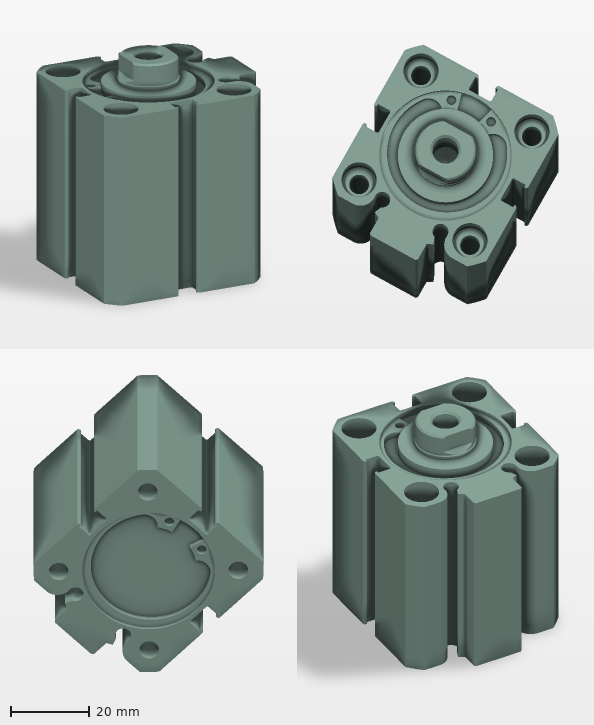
import cadquery as cq
import math


WIDTH = 45.0
HALF = WIDTH / 2
HEIGHT = 51.0
CORNER_RADIUS = 29.4
CORNER_EDGE = math.sqrt(CORNER_RADIUS**2 - HALF**2)
BORE_RADIUS = 16.95

RAIL_TOP = 27.5
RAIL_HALF = 7.0
RAIL_CHAMFER = 0.45
BARB_HALF = 8.6
BARB_DROP = 0.8
CHANNEL_RADIUS = 2.05
CHANNEL_X = 8.5
CHANNEL_Y = 17.9
BARB_ROOT_ANGLE = 70
SHOULDER_RADIUS = 4.0
SHOULDER_Y = HALF - SHOULDER_RADIUS
CENTER_GAP = CHANNEL_RADIUS + SHOULDER_RADIUS
SHOULDER_X = CHANNEL_X + math.sqrt(CENTER_GAP**2 - (SHOULDER_Y - CHANNEL_Y)**2)

SLOT_FLOOR = 17.85
SLOT_HALF = 3.3
SLOT_MOUTH_HALF = 2.6
SLOT_LIP = 0.85
SLOT_FLOOR_FILLET = 0.45
SLOT_MOUTH_FILLET = 0.65

HOLE_PITCH = 32.5
HOLE_DIAMETER = 5.05
COUNTERBORE_DIAMETER = 9.0
COUNTERBORE_DEPTH = 6.5

RING_DEPTH = 1.05
RING_THICKNESS = 1.7
RING_RADIUS = 17.7
RING_STACK = RING_DEPTH + RING_THICKNESS
LUG_INNER_RADIUS = 12.35
LUG_HOLE_X = 5.8
LUG_HOLE_Y = -13.5
LUG_HOLE_DIAMETER = 2.5
GAP_HALF_ANGLE = 15
WINDOW_RADIUS = 15.35
WINDOW_OFFSET = -0.85
WINDOW_END_RADIUS = 3.5
WINDOW_END_ANGLE = -37

COVER_THICKNESS = 5.8
BOSS_RADIUS = 12.2

ROD_RADIUS = 8.0
ROD_STEP = 1.0
ROD_STEP_RISE = 0.2
HEAD_RADIUS = 7.7
HEAD_TOP = 58.0
HEAD_CHAMFER = 0.45
FLAT_HALF = 6.45
FLAT_RISE = 2.4
THREAD_RADIUS = 3.35
THREAD_CHAMFER = 0.65
THREAD_DEPTH = 12.75
DRILL_POINT_ANGLE = 118


def polar(radius, degrees, center=(0, 0)):
    angle = math.radians(degrees)
    return (center[0] + radius * math.cos(angle), center[1] + radius * math.sin(angle))


def cylinder(radius, bottom, top):
    return cq.Workplane("XY").workplane(offset=bottom).circle(radius).extrude(top - bottom)


def mirrored(point):
    return (-point[0], point[1])


def block():
    """Square block with arc corners and the sensor rail on its +Y side."""
    channel = (CHANNEL_X, CHANNEL_Y)
    shoulder = (SHOULDER_X, SHOULDER_Y)
    barb_root = polar(CHANNEL_RADIUS, 180 - BARB_ROOT_ANGLE, channel)
    channel_bottom = (CHANNEL_X, CHANNEL_Y - CHANNEL_RADIUS)
    tangent_angle = math.degrees(math.atan2(SHOULDER_Y - CHANNEL_Y, SHOULDER_X - CHANNEL_X))
    tangent = polar(CHANNEL_RADIUS, tangent_angle, channel)
    shoulder_mid = polar(SHOULDER_RADIUS, 135, shoulder)
    shoulder_end = (SHOULDER_X, HALF)
    top_corner = polar(CORNER_RADIUS, 45)
    bottom_corner = polar(CORNER_RADIUS, -45)
    outline = (
        cq.Workplane("XY")
        .moveTo(RAIL_HALF - RAIL_CHAMFER, RAIL_TOP)
        .lineTo(RAIL_HALF, RAIL_TOP - RAIL_CHAMFER)
        .lineTo(RAIL_HALF, HALF)
        .lineTo(BARB_HALF, HALF - BARB_DROP)
        .lineTo(*barb_root)
        .threePointArc(channel_bottom, tangent)
        .threePointArc(shoulder_mid, shoulder_end)
        .lineTo(CORNER_EDGE, HALF)
        .threePointArc(top_corner, (HALF, CORNER_EDGE))
        .lineTo(HALF, -CORNER_EDGE)
        .threePointArc(bottom_corner, (CORNER_EDGE, -HALF))
        .lineTo(-CORNER_EDGE, -HALF)
        .threePointArc(mirrored(bottom_corner), (-HALF, -CORNER_EDGE))
        .lineTo(-HALF, CORNER_EDGE)
        .threePointArc(mirrored(top_corner), (-CORNER_EDGE, HALF))
        .lineTo(*mirrored(shoulder_end))
        .threePointArc(mirrored(shoulder_mid), mirrored(tangent))
        .threePointArc(mirrored(channel_bottom), mirrored(barb_root))
        .lineTo(-BARB_HALF, HALF - BARB_DROP)
        .lineTo(-RAIL_HALF, HALF)
        .lineTo(-RAIL_HALF, RAIL_TOP - RAIL_CHAMFER)
        .lineTo(RAIL_CHAMFER - RAIL_HALF, RAIL_TOP)
        .close()
    )
    return outline.extrude(HEIGHT)


def slot_cutter():
    """T-slot in the +X side, with its mouth rounded outward."""
    lip_inside = HALF - SLOT_LIP
    chamber_depth = lip_inside - SLOT_FLOOR
    chamber = (
        cq.Workplane("XY")
        .box(chamber_depth, 2 * SLOT_HALF, HEIGHT, centered=(False, True, False))
        .edges("|Z and <X")
        .fillet(SLOT_FLOOR_FILLET)
        .translate((SLOT_FLOOR, 0, 0))
    )
    round_start = HALF - SLOT_MOUTH_FILLET
    mouth_edge = SLOT_MOUTH_HALF + SLOT_MOUTH_FILLET
    round_center = (round_start, mouth_edge)
    round_mid = polar(SLOT_MOUTH_FILLET, -45, round_center)
    mouth = (
        cq.Workplane("XY")
        .moveTo(lip_inside, SLOT_MOUTH_HALF)
        .lineTo(round_start, SLOT_MOUTH_HALF)
        .threePointArc(round_mid, (HALF, mouth_edge))
        .lineTo(HALF, -mouth_edge)
        .threePointArc((round_mid[0], -round_mid[1]), (round_start, -SLOT_MOUTH_HALF))
        .lineTo(lip_inside, -SLOT_MOUTH_HALF)
        .close()
        .extrude(HEIGHT)
    )
    return chamber.union(mouth)


def make_housing():
    body = block().cut(cylinder(BORE_RADIUS, 0, HEIGHT))
    for angle in (0, 180, 270):
        body = body.cut(slot_cutter().rotate((0, 0, 0), (0, 0, 1), angle))
    for groove_bottom in (RING_DEPTH, HEIGHT - RING_STACK):
        body = body.cut(cylinder(RING_RADIUS, groove_bottom, groove_bottom + RING_THICKNESS))
    return (
        body.faces(">Z")
        .workplane(origin=(0, 0, HEIGHT))
        .rect(HOLE_PITCH, HOLE_PITCH, forConstruction=True)
        .vertices()
        .cboreHole(HOLE_DIAMETER, COUNTERBORE_DIAMETER, COUNTERBORE_DEPTH)
    )


def ring_window():
    """Opening inside a ring: an eccentric sector with rounded ends, plus the lug clearance."""
    center = (0, WINDOW_OFFSET)
    right_end = polar(WINDOW_RADIUS, WINDOW_END_ANGLE, center)
    end_center = polar(WINDOW_RADIUS - WINDOW_END_RADIUS, WINDOW_END_ANGLE, center)
    window = (
        cq.Workplane("XY")
        .moveTo(*center)
        .lineTo(*right_end)
        .threePointArc((0, WINDOW_OFFSET + WINDOW_RADIUS), mirrored(right_end))
        .close()
        .extrude(RING_THICKNESS)
    )
    for x, y in (end_center, mirrored(end_center)):
        window = window.union(cylinder(WINDOW_END_RADIUS, 0, RING_THICKNESS).translate((x, y, 0)))
    return window.union(cylinder(LUG_INNER_RADIUS, 0, RING_THICKNESS))


def make_retaining_ring(bottom):
    gap_reach = 2 * RING_RADIUS
    gap_left = polar(gap_reach, -90 - GAP_HALF_ANGLE)
    gap_right = polar(gap_reach, -90 + GAP_HALF_ANGLE)
    gap = (
        cq.Workplane("XY")
        .polyline([(0, 0), gap_left, gap_right])
        .close()
        .extrude(RING_THICKNESS)
    )
    lug_holes = (
        cq.Workplane("XY")
        .pushPoints([(-LUG_HOLE_X, LUG_HOLE_Y), (LUG_HOLE_X, LUG_HOLE_Y)])
        .circle(LUG_HOLE_DIAMETER / 2)
        .extrude(RING_THICKNESS)
    )
    ring = cylinder(RING_RADIUS, 0, RING_THICKNESS).cut(ring_window()).cut(gap).cut(lug_holes)
    return ring.translate((0, 0, bottom))


def make_front_cover():
    """Flange under the upper ring, with a boss level with the housing and a bore for the rod."""
    flange_top = HEIGHT - RING_STACK
    flange = cylinder(BORE_RADIUS, flange_top - COVER_THICKNESS, flange_top)
    boss = cylinder(BOSS_RADIUS, flange_top, HEIGHT)
    return flange.union(boss).cut(cylinder(ROD_RADIUS, 0, HEIGHT))


def make_rear_cover():
    return cylinder(BORE_RADIUS, RING_STACK, RING_STACK + COVER_THICKNESS)


def flat_cutter():
    """Wrench flat on the +Y side of the rod head, running out at 45 degrees below."""
    flat_bottom = HEIGHT + FLAT_RISE
    return (
        cq.Workplane("YZ")
        .moveTo(FLAT_HALF, HEAD_TOP)
        .lineTo(FLAT_HALF, flat_bottom)
        .lineTo(FLAT_HALF + FLAT_RISE, HEIGHT)
        .lineTo(FLAT_HALF + FLAT_RISE, HEAD_TOP)
        .close()
        .extrude(ROD_RADIUS, both=True)
    )


def make_rod():
    """Rod turned about the bore axis, from the rear cover up to its threaded, flatted head."""
    step_bottom = HEIGHT + ROD_STEP
    thread_bottom = HEAD_TOP - THREAD_DEPTH
    point_depth = THREAD_RADIUS / math.tan(math.radians(DRILL_POINT_ANGLE / 2))
    profile = [
        (0, RING_STACK + COVER_THICKNESS),
        (ROD_RADIUS, RING_STACK + COVER_THICKNESS),
        (ROD_RADIUS, step_bottom),
        (HEAD_RADIUS, step_bottom + ROD_STEP_RISE),
        (HEAD_RADIUS, HEAD_TOP - HEAD_CHAMFER),
        (HEAD_RADIUS - HEAD_CHAMFER, HEAD_TOP),
        (THREAD_RADIUS + THREAD_CHAMFER, HEAD_TOP),
        (THREAD_RADIUS, HEAD_TOP - THREAD_CHAMFER),
        (THREAD_RADIUS, thread_bottom),
        (0, thread_bottom - point_depth),
    ]
    rod = cq.Workplane("XZ").polyline(profile).close().revolve(360, (0, 0), (0, 1))
    flat = flat_cutter()
    return rod.cut(flat).cut(flat.mirror("XZ"))


housing = make_housing()
front_cover = make_front_cover()
rear_cover = make_rear_cover()
rod = make_rod()
retaining_rings = [make_retaining_ring(bottom) for bottom in (RING_DEPTH, HEIGHT - RING_STACK)]

result = cq.Compound.makeCompound([
    housing.val(),
    front_cover.val(),
    rear_cover.val(),
    rod.val(),
    *[ring.val() for ring in retaining_rings],
])